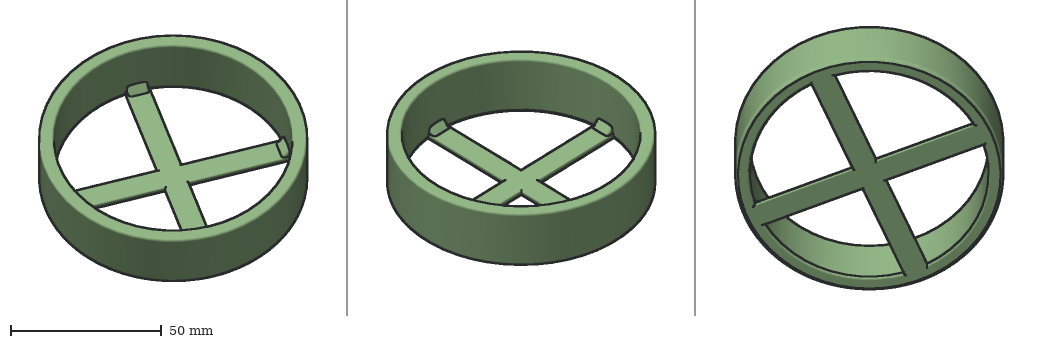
import cadquery as cq
outer_diameter = 89.0
bore_diameter = 79.0
ring_height = 22.0
ring_rounding = 1.0
foot_chamfer = 1.0

spoke_width = 8.3
spoke_thickness = 2.0
spoke_rounding = 0.5

wedge_width = spoke_width - 2 * spoke_rounding
wedge_run = 2.8
wedge_rise = 2.8
wedge_rounding = 1.0

bore_radius = bore_diameter / 2
wall_thickness = (outer_diameter - bore_diameter) / 2
wall_overlap = wall_thickness / 2
spoke_count = 4


def make_ring():
    """Ring with rounded edges; its outer foot is a chamfer blended into the side."""
    smallest_circle = cq.selectors.RadiusNthSelector(0)
    largest_circle = cq.selectors.RadiusNthSelector(-1)
    ring = (
        cq.Workplane("XY")
        .circle(outer_diameter / 2)
        .circle(bore_radius)
        .extrude(ring_height)
    )
    ring = ring.edges("%CIRCLE").edges(smallest_circle).fillet(ring_rounding)
    ring = ring.faces("<Z").edges(largest_circle).chamfer(foot_chamfer)
    return ring.edges("%CIRCLE").edges(largest_circle).fillet(ring_rounding)


def make_cross():
    """Two crossed bars, rounded along their long top and bottom edges."""
    length = 2 * (bore_radius + wall_overlap)
    centered = (True, True, False)
    bar_x = cq.Workplane("XY").box(length, spoke_width, spoke_thickness, centered=centered)
    bar_y = cq.Workplane("XY").box(spoke_width, length, spoke_thickness, centered=centered)
    return bar_x.union(bar_y).faces("<Z or >Z").edges().fillet(spoke_rounding)


def make_wedge():
    """Ramp rising toward the bore wall at +X, with its sloped side edges rounded."""
    toe = bore_radius - wedge_run
    heel = bore_radius + wall_overlap
    slope = wedge_rise / wedge_run
    peak = spoke_thickness + wedge_rise
    ramp = (
        cq.Workplane("XZ")
        .moveTo(toe - spoke_rounding / slope, spoke_thickness - spoke_rounding)
        .lineTo(bore_radius, peak)
        .lineTo(heel, peak)
        .lineTo(heel, spoke_thickness - spoke_rounding)
        .close()
        .extrude(wedge_width / 2, both=True)
    )
    return ramp.faces("<(1, 0, -1)").edges("not #Z").edges("not |Y").fillet(wedge_rounding)


result = make_ring().union(make_cross())
for index in range(spoke_count):
    angle = index * 360 / spoke_count
    result = result.union(make_wedge().rotate((0, 0, 0), (0, 0, 1), angle))